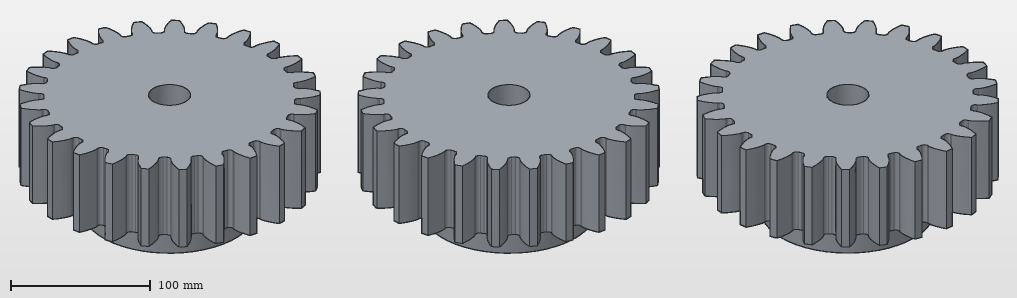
import cadquery as cq
import math


overall_width = 215.9
total_height = 95.0
hub_height = 31.0
hub_diameter = 125.0
bore_diameter = 30.0
root_fillet_radius = 3.0

tooth_count = 25
pressure_angle = math.radians(20)
addendum_modules = 1.0
dedendum_modules = 1.25
first_tooth_angle = math.radians(-90)
flank_steps = 8

pitch_angle = 2 * math.pi / tooth_count


def involute(angle):
    return math.tan(angle) - angle


def tooth_half_angle(base_ratio):
    """Half the angle a tooth spans at the radius where base radius / radius is base_ratio."""
    return pitch_angle / 4 + involute(pressure_angle) - involute(math.acos(base_ratio))


pitch_modules = tooth_count / 2
tip_modules = pitch_modules + addendum_modules
root_modules = pitch_modules - dedendum_modules
base_modules = pitch_modules * math.cos(pressure_angle)

corner_angle = pitch_angle / 4 - tooth_half_angle(base_modules / tip_modules)
tip_radius = overall_width / 2 / math.cos(corner_angle)

module = tip_radius / tip_modules
base_radius = base_modules * module
root_radius = root_modules * module
gear_height = total_height - hub_height


def polar(radius, angle):
    return (radius * math.cos(angle), radius * math.sin(angle))


def flank_points(tooth_angle, side):
    """Involute points from base circle to tip circle; side is -1 or +1."""
    points = []
    for step in range(flank_steps + 1):
        radius = base_radius + (tip_radius - base_radius) * (step / flank_steps) ** 2
        points.append(polar(radius, tooth_angle + side * tooth_half_angle(base_radius / radius)))
    return points


def add_tooth(outline, tooth_angle):
    """Draw one tooth and the root arc after it; flanks are radial below the base circle."""
    rising_flank = flank_points(tooth_angle, -1)
    falling_flank = flank_points(tooth_angle, 1)[::-1]
    foot_half_angle = tooth_half_angle(1.0)
    root_middle = polar(root_radius, tooth_angle + pitch_angle / 2)
    next_foot = polar(root_radius, tooth_angle + pitch_angle - foot_half_angle)
    return (
        outline.lineTo(*rising_flank[0])
        .spline(rising_flank[1:], includeCurrent=True)
        .threePointArc(polar(tip_radius, tooth_angle), falling_flank[0])
        .spline(falling_flank[1:], includeCurrent=True)
        .lineTo(*polar(root_radius, tooth_angle + foot_half_angle))
        .threePointArc(root_middle, next_foot)
    )


def is_tooth_foot(edge):
    """True for an upright edge where a flank meets the root circle."""
    center = edge.Center()
    return math.isclose(math.hypot(center.x, center.y), root_radius, rel_tol=1e-4)


def make_gear():
    first_foot = polar(root_radius, first_tooth_angle - tooth_half_angle(1.0))
    outline = cq.Workplane("XY").workplane(offset=hub_height).moveTo(*first_foot)
    for index in range(tooth_count):
        outline = add_tooth(outline, first_tooth_angle + index * pitch_angle)
    gear = outline.close().extrude(gear_height)
    return gear.edges("|Z").filter(is_tooth_foot).fillet(root_fillet_radius)


hub = cq.Workplane("XY").circle(hub_diameter / 2).extrude(hub_height)
bore = cq.Workplane("XY").circle(bore_diameter / 2).extrude(total_height)
result = make_gear().union(hub).cut(bore)